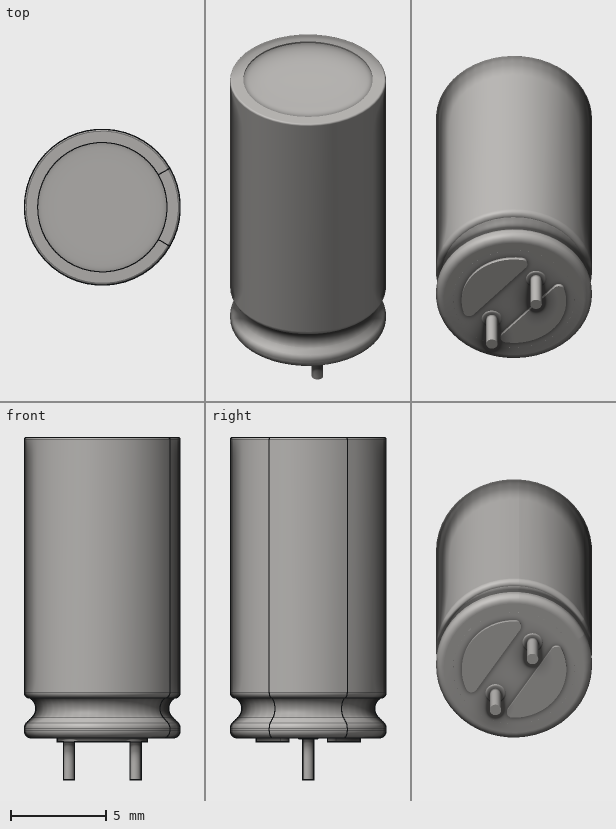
import cadquery as cq
import math


sleeve_diameter = 8.2
sleeve_thickness = 0.1
sleeve_top = 16.0
sleeve_bottom = 0.2
sleeve_top_round = sleeve_thickness
top_opening_diameter = 6.8
stripe_angle = 60.0

groove_depth = 0.6
groove_radius = 0.65
lip_z = 2.3
lip_round = 0.3
flare_round = 0.4
base_round = 0.4

bung_diameter = 6.4
bung_top = lip_z
foot_ring_diameter = 5.5
foot_gap = 2.0
foot_corner_round = 0.3

pin_diameter = 0.6
pin_pitch = 3.5
pin_length_below_seat = 2.0
shoulder_diameter = 1.1
shoulder_round = 0.1
shoulder_reveal = 0.05
shoulder_bottom = sleeve_bottom - shoulder_reveal

sleeve_radius = sleeve_diameter / 2
groove_center_r = sleeve_radius - groove_depth + groove_radius
lip_center_r = sleeve_radius - lip_round
groove_center_z = lip_z - math.sqrt(groove_radius**2 - (groove_center_r - lip_center_r) ** 2)
diagonal = math.sqrt(0.5)


def arc_point(center, radius, degrees):
    angle = math.radians(degrees)
    return (center[0] + radius * math.cos(angle), center[1] + radius * math.sin(angle))


def crimped_cylinder(inset, angle=360.0):
    """Solid of revolution with the crimp groove, its surface lying `inset` inside the sleeve surface."""
    radius = sleeve_radius - inset
    top = sleeve_top - inset
    bottom = sleeve_bottom + inset

    groove_center = (groove_center_r, groove_center_z)
    groove_arc = groove_radius + inset
    lip_center = (lip_center_r, lip_z + lip_round)
    lip_arc = lip_round - inset
    lip_inner_end = arc_point(lip_center, lip_arc, -90)
    base_center = (sleeve_radius - base_round, sleeve_bottom + base_round)
    base_arc = base_round - inset

    flare_r = sleeve_radius - flare_round
    tangent_sum = groove_center_r + groove_center_z - 2 * diagonal * groove_radius
    flare_center = (flare_r, tangent_sum - 2 * diagonal * flare_round - flare_r)
    flare_arc = flare_round - inset

    outline = (
        cq.Workplane("XZ")
        .moveTo(0, bottom)
        .lineTo(base_center[0], bottom)
        .threePointArc(arc_point(base_center, base_arc, -45), (radius, base_center[1]))
        .lineTo(radius, flare_center[1])
        .threePointArc(arc_point(flare_center, flare_arc, 22.5), arc_point(flare_center, flare_arc, 45))
        .lineTo(*arc_point(groove_center, groove_arc, 225))
        .threePointArc(arc_point(groove_center, groove_arc, 180), lip_inner_end)
        .threePointArc(arc_point(lip_center, lip_arc, -45), (radius, lip_center[1]))
    )
    top_round = sleeve_top_round - inset
    if top_round > 0:
        top_center = (radius - top_round, top - top_round)
        outline = outline.lineTo(radius, top_center[1])
        outline = outline.threePointArc(arc_point(top_center, top_round, 45), (top_center[0], top))
    else:
        outline = outline.lineTo(radius, top)
    return outline.lineTo(0, top).close().revolve(angle, (0, 0, 0), (0, 1, 0))


def cylinder(diameter, bottom, top):
    return cq.Workplane("XY").workplane(offset=bottom).circle(diameter / 2).extrude(top - bottom)


def pin(x):
    """Round lead whose thicker shoulder fills its hole through the bung."""
    shoulder = cylinder(shoulder_diameter, shoulder_bottom, bung_top)
    shoulder = shoulder.faces("<Z").edges().fillet(shoulder_round)
    lead = cylinder(pin_diameter, -pin_length_below_seat, bung_top)
    return shoulder.union(lead).translate((x, 0, 0))


pins = [pin(x) for x in (-pin_pitch / 2, pin_pitch / 2)]

bung = cylinder(bung_diameter, sleeve_bottom, bung_top)
feet = cylinder(foot_ring_diameter, 0, sleeve_bottom)
feet = feet.cut(cq.Workplane("XY").box(sleeve_diameter, foot_gap, sleeve_diameter))
feet = feet.edges("|Z").fillet(foot_corner_round)
bung = bung.union(feet)
for lead in pins:
    bung = bung.cut(lead)

bung_space = cylinder(bung_diameter, sleeve_bottom, bung_top)
can_envelope = crimped_cylinder(sleeve_thickness)
can = can_envelope.cut(bung_space)

top_opening = cylinder(top_opening_diameter, sleeve_top - sleeve_thickness, sleeve_top)


def sleeve_part(angle, middle_direction):
    """Part of the sleeve spanning `angle` degrees, centred on `middle_direction` degrees from +X."""
    wrap = crimped_cylinder(0, angle)
    wrap = wrap.rotate((0, 0, 0), (0, 0, 1), middle_direction - angle / 2)
    return wrap.cut(can_envelope).cut(top_opening).cut(bung_space)


sleeve = sleeve_part(360 - stripe_angle, 180)
stripe = sleeve_part(stripe_angle, 0)

result = cq.Compound.makeCompound(
    [sleeve.val(), stripe.val(), can.val(), bung.val(), *[lead.val() for lead in pins]]
)